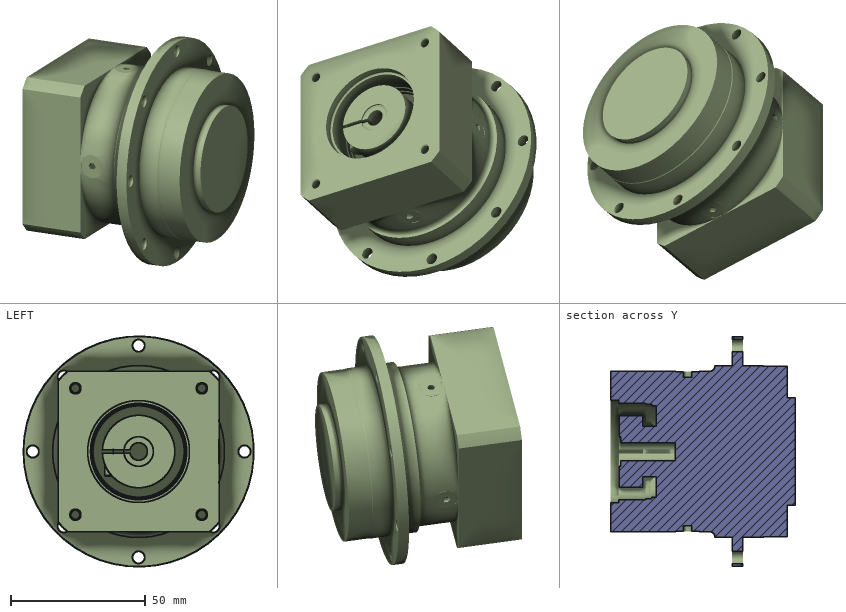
import cadquery as cq
import math


plate_side = 60.0
plate_corner_radius = 40.0
plate_end = 24.0
motor_hole_pitch = 47.1
motor_hole_radius = 1.7
motor_hole_mouth_radius = 2.1
motor_hole_depth = 10.0

body_radius = 30.0
body_fillet = 2.0
hub_start = 38.9
hub_radius = 32.1
flange_radius = 43.0
flange_start = 45.3
flange_end = 49.4
pilot_start = 56.85
pilot_radius = 31.9
pilot_edge_length = 0.35
pilot_end = 66.05
output_radius = 20.1
output_end = 69.0

flange_hole_count = 8
flange_hole_radius = 2.2
flange_hole_circle = 39.5

pilot_bore_radius = 19.0
pilot_bore_depth = 3.0
cavity_radius = 18.0
cavity_depth = 13.0
seat_radius = 17.55
seat_depth = 15.3
floor_radius = 17.0
floor_depth = 17.0

collar_front = 3.1
collar_back = 12.0
collar_radius = 13.5
neck_radius = 9.55
sleeve_radius = 5.5
sleeve_recess = 0.6
shaft_bore_radius = 3.3
shaft_bore_end = plate_end
slot_width = 1.5

clamp_head_radius = 3.5
clamp_head_y = 9.1
clamp_head_z = -9.2
clamp_head_length = 4.0
clamp_head_chamfer = 0.35
clamp_head_x = (collar_front + collar_back) / 2

plug_x = 28.7
plug_radius = 4.5
plug_flat = 29.8
plug_seat = 25.8
plug_count = 4
plug_hex_flats = 2.6
plug_hex_depth = 2.0


def disc(radius, start, end):
    """Cylinder on the X axis between two X positions."""
    return cq.Workplane("YZ", origin=(start, 0, 0)).circle(radius).extrude(end - start)


def make_plate():
    """Square plate whose corners are rounded off by a large concentric cylinder."""
    square = cq.Workplane("YZ").rect(plate_side, plate_side).extrude(plate_end)
    return square.intersect(disc(plate_corner_radius, 0, plate_end))


def make_housing():
    """Turned housing with the flange, the pilot and the output end."""
    arc_middle = body_fillet * math.sqrt(0.5)
    return (
        cq.Workplane("XY")
        .moveTo(plate_end, 0)
        .lineTo(plate_end, body_radius)
        .lineTo(hub_start - body_fillet, body_radius)
        .threePointArc(
            (hub_start - body_fillet + arc_middle, body_radius + body_fillet - arc_middle),
            (hub_start, body_radius + body_fillet),
        )
        .lineTo(hub_start, hub_radius)
        .lineTo(flange_start, hub_radius)
        .lineTo(flange_start, flange_radius)
        .lineTo(flange_end, flange_radius)
        .lineTo(flange_end, hub_radius)
        .lineTo(pilot_start, hub_radius)
        .lineTo(pilot_start + pilot_edge_length, pilot_radius)
        .lineTo(pilot_end, pilot_radius)
        .lineTo(pilot_end, output_radius)
        .lineTo(output_end, output_radius)
        .lineTo(output_end, 0)
        .close()
        .revolve(360, (0, 0, 0), (1, 0, 0))
    )


def make_flange_holes():
    """Ring of through holes in the flange."""
    return (
        cq.Workplane("YZ", origin=(flange_start, 0, 0))
        .polarArray(flange_hole_circle, 0, 360, flange_hole_count)
        .circle(flange_hole_radius)
        .extrude(flange_end - flange_start)
    )


def make_motor_holes():
    """Four blind holes in the plate, each with a countersunk mouth."""
    mouth_depth = motor_hole_mouth_radius - motor_hole_radius
    hole_profile = [
        (0, 0),
        (0, motor_hole_mouth_radius),
        (mouth_depth, motor_hole_radius),
        (motor_hole_depth, motor_hole_radius),
        (motor_hole_depth, 0),
    ]
    hole = cq.Workplane("XY").polyline(hole_profile).close().revolve(360, (0, 0, 0), (1, 0, 0))
    holes = cq.Workplane("YZ")
    for y_sign in (-1, 1):
        for z_sign in (-1, 1):
            offset = (0, y_sign * motor_hole_pitch / 2, z_sign * motor_hole_pitch / 2)
            holes = holes.add(hole.translate(offset))
    return holes.combine()


def make_opening():
    """Bore of the plate, stepping down to the cavity floor."""
    return (
        disc(pilot_bore_radius, 0, pilot_bore_depth)
        .union(disc(cavity_radius, 0, cavity_depth))
        .union(disc(seat_radius, 0, seat_depth))
        .union(disc(floor_radius, 0, floor_depth))
    )


def make_collar():
    """Split clamp collar on the hollow input shaft, with its screw head."""
    head = (
        cq.Workplane("XY", origin=(clamp_head_x, clamp_head_y, clamp_head_z))
        .circle(clamp_head_radius)
        .extrude(clamp_head_length)
        .faces("<Z")
        .chamfer(clamp_head_chamfer)
    )
    collar = disc(collar_radius, collar_front, collar_back).union(head)
    neck = disc(neck_radius, collar_back, floor_depth)
    return (
        collar.cut(make_slot(collar_radius, collar_front, collar_back))
        .union(neck)
        .cut(disc(sleeve_radius, collar_front, collar_front + sleeve_recess))
    )


def make_slot(outer_y, start, end):
    """Narrow slot from the axis out to a distance towards +Y."""
    return (
        cq.Workplane("XY", origin=(start, 0, 0))
        .box(end - start, outer_y, slot_width, centered=(False, False, True))
    )


def add_plug(body, angle):
    """Flat round plug with a hexagon socket, turned about X to the given angle."""
    seat = cq.Workplane("XY", origin=(plug_x, 0, plug_seat))
    pocket = seat.circle(plug_radius).extrude(hub_radius - plug_seat)
    plug = seat.circle(plug_radius).extrude(plug_flat - plug_seat)
    socket = (
        cq.Workplane("XY", origin=(plug_x, 0, plug_flat - plug_hex_depth))
        .polygon(6, plug_hex_flats / math.cos(math.pi / 6))
        .extrude(plug_hex_depth)
    )
    plug = plug.cut(socket)
    axis = ((0, 0, 0), (1, 0, 0), angle)
    return body.cut(pocket.rotate(*axis)).union(plug.rotate(*axis))


result = make_plate().union(make_housing())
result = result.cut(make_flange_holes()).cut(make_motor_holes())
result = result.cut(make_opening()).union(make_collar())
result = result.cut(disc(shaft_bore_radius, 0, shaft_bore_end))
result = result.cut(make_slot(sleeve_radius, collar_front, shaft_bore_end))
for plug_index in range(plug_count):
    result = add_plug(result, plug_index * 360 / plug_count)